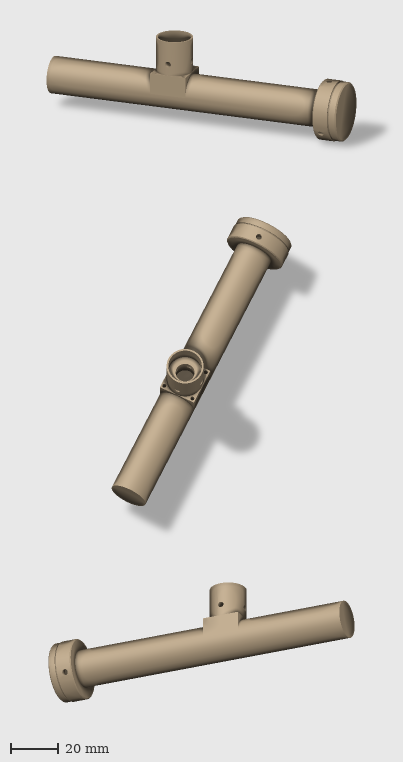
import cadquery as cq
import math


barrel_diameter = 16.0
barrel_length = 122.3

socket_x = 55.0
block_size = 16.0
block_top = 9.0
corner_hole_spacing = 13.2
corner_hole_diameter = 1.7
corner_hole_depth = 4.0

socket_top = 24.0
socket_outer_diameter = 15.7
socket_bore_diameter = 14.2
socket_bore_floor = 16.5
lower_bore_diameter = 8.0
socket_hole_z = 14.0
socket_hole_diameter = 2.5

collar_diameter = 26.0
collar_end = 129.0
collar_chamfer = 0.4
groove_diameter = 24.6
groove_width = 0.7
cap_diameter = 25.4
cap_chamfer = 0.5
overall_length = 132.8

screw_count = 3
screw_first_angle = 3.0
screw_x = 125.4
screw_diameter = 2.5
screw_depth = 3.0


def rod(diameter, x_start, x_end):
    """Solid cylinder along X between two stations."""
    return cq.Workplane("YZ", origin=(x_start, 0, 0)).circle(diameter / 2).extrude(x_end - x_start)


def upright(diameter, z_bottom, z_top):
    """Solid cylinder along the socket axis between two heights."""
    plane = cq.Workplane("XY", origin=(socket_x, 0, z_bottom))
    return plane.circle(diameter / 2).extrude(z_top - z_bottom)


def make_flange():
    cap_start = collar_end + groove_width
    collar = rod(collar_diameter, barrel_length, collar_end).faces("<X").chamfer(collar_chamfer)
    groove_core = rod(groove_diameter, collar_end, cap_start)
    cap = rod(cap_diameter, cap_start, overall_length).faces(">X").chamfer(cap_chamfer)
    return collar.union(groove_core).union(cap)


def make_block():
    plane = cq.Workplane("XY", origin=(socket_x, 0, 0))
    return plane.rect(block_size, block_size).extrude(block_top)


def cut_corner_holes(body):
    plane = cq.Workplane("XY", origin=(socket_x, 0, block_top))
    corners = plane.rect(corner_hole_spacing, corner_hole_spacing, forConstruction=True).vertices()
    return body.cut(corners.circle(corner_hole_diameter / 2).extrude(-corner_hole_depth))


def cut_socket_bore(body):
    bore = upright(socket_bore_diameter, socket_bore_floor, socket_top)
    lower_bore = upright(lower_bore_diameter, block_top, socket_bore_floor)
    return body.cut(bore).cut(lower_bore)


def cut_socket_cross_holes(body):
    for plane_name in ("XZ", "YZ"):
        plane = cq.Workplane(plane_name, origin=(socket_x, 0, socket_hole_z))
        drill = plane.circle(socket_hole_diameter / 2).extrude(socket_outer_diameter, both=True)
        body = body.cut(drill)
    return body


def cut_screw_holes(body):
    outer_radius = collar_diameter / 2
    for index in range(screw_count):
        angle = math.radians(screw_first_angle + index * 360 / screw_count)
        outward = cq.Vector(0, -math.sin(angle), math.cos(angle))
        start = cq.Vector(screw_x, 0, 0) + outward * (outer_radius - screw_depth)
        drill = cq.Solid.makeCylinder(screw_diameter / 2, outer_radius, start, outward)
        body = body.cut(cq.Workplane(drill))
    return body


body = rod(barrel_diameter, 0, barrel_length).union(make_flange()).union(make_block())
body = body.union(upright(socket_outer_diameter, block_top, socket_top))
body = cut_socket_bore(body)
body = cut_corner_holes(body)
body = cut_socket_cross_holes(body)
result = cut_screw_holes(body)